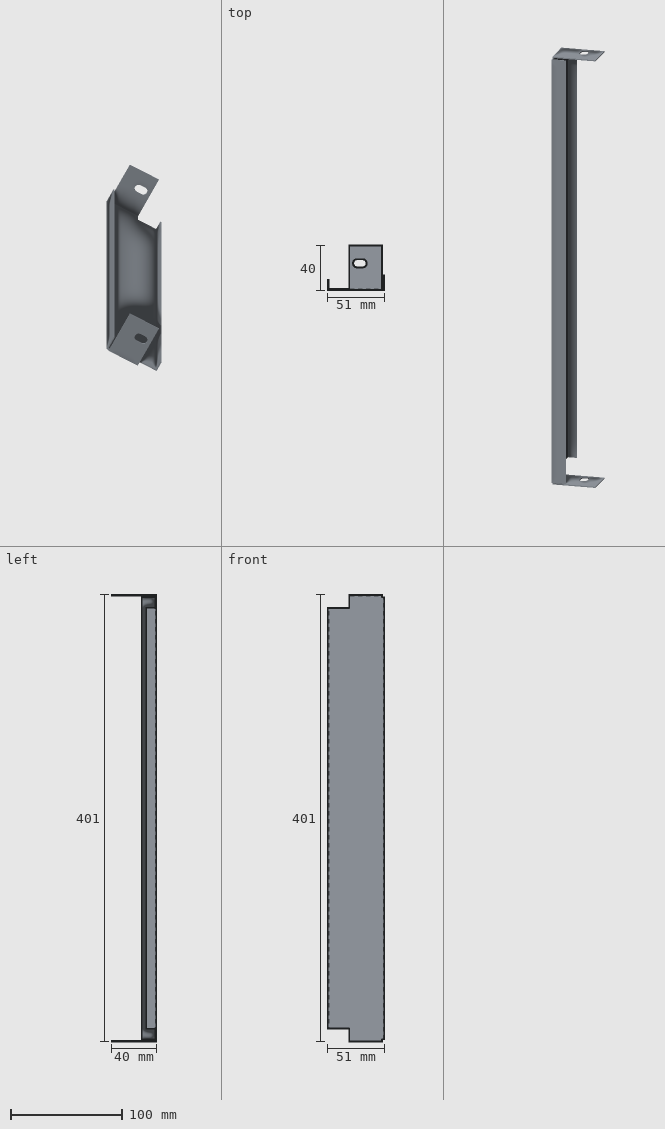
import cadquery as cq

length = 401.0
width = 51.0
tab_depth = 40.0
thickness = 1.0

lip_height = 9.2
flange_height = 13.2

notch_width = 19.2
notch_length = 11.5
relief = 2.0

slot_length = 12.0
slot_width = 7.2
slot_x = 29.0
slot_y = 24.0

tab_width = width - notch_width - relief


def box(x, y, z, size_x, size_y, size_z):
    """Make a box from its minimum corner and its sizes."""
    return cq.Workplane("XY").box(size_x, size_y, size_z, centered=False).translate((x, y, z))


def make_face():
    """Make the front sheet, narrowed at both ends by notches and bend reliefs."""
    face = box(0, 0, 0, width, thickness, length)
    for notch_z in (0, length - notch_length):
        face = face.cut(box(0, 0, notch_z, notch_width, thickness, notch_length))
    for relief_z in (0, length - relief):
        face = face.cut(box(width - relief, 0, relief_z, relief, thickness, relief))
    return face


def make_end_tab(z):
    """Make a slotted tab folded back from one end of the face."""
    tab = box(notch_width, 0, z, tab_width, tab_depth, thickness)
    slot = (
        cq.Workplane("XY", origin=(slot_x, slot_y, z))
        .slot2D(slot_length, slot_width)
        .extrude(thickness)
    )
    return tab.cut(slot)


lip = box(0, 0, notch_length, thickness, lip_height, length - 2 * notch_length)
flange = box(width - thickness, 0, relief, thickness, flange_height, length - 2 * relief)

result = make_face().union(lip).union(flange)
for tab_z in (0, length - thickness):
    result = result.union(make_end_tab(tab_z))